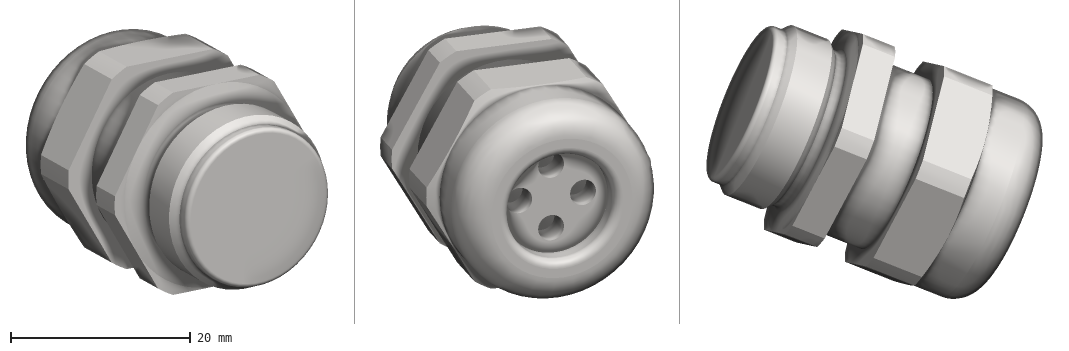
import cadquery as cq
import math

TOTAL_LENGTH = 33.0

HEX_ACROSS_FLATS = 24.0
HEX_CORNER_RADIUS = 13.25

NOSE_RADIUS = 11.85
NOSE_FILLET = 3.53
CAP_HEX_START = 7.52
CAP_HEX_CHAMFER = 0.53
CAP_END = 14.0
MOUTH_RADIUS = 6.25
MOUTH_FILLET = 1.0
MOUTH_DEPTH = 2.5

BARREL_RADIUS = 10.2
BODY_START = 8.1
BODY_HEX_START = 20.0
BODY_HEX_END = 23.95
COLLAR_CONE_END = 24.4
NECK_RADIUS = 9.35
COLLAR_FILLET = 0.43
THREAD_START = 25.5
THREAD_END = 31.48
THREAD_CHAMFER = BARREL_RADIUS - NECK_RADIUS
TIP_FILLET = 0.53

INSERT_RADIUS = 9.9
DISH_FLOOR = 3.75
DISH_FLOOR_RADIUS = 7.55
DISH_RIM_RADIUS = 9.75
HOLE_COUNT = 4
HOLE_RADIUS = 1.52
HOLE_PITCH_RADIUS = 3.75
HOLE_DEPTH = 3.3
HOLE_FLOOR_RISE = 0.13


def cylinder(start, end, radius):
    """Cylinder on the X axis between two stations."""
    return cq.Workplane("YZ", origin=(start, 0, 0)).circle(radius).extrude(end - start)


def trimmed_hexagon(start, end):
    """Hexagon with flats facing +-Z and its corners trimmed round."""
    across_corners = HEX_ACROSS_FLATS / math.cos(math.pi / 6)
    prism = cq.Workplane("YZ", origin=(start, 0, 0)).polygon(6, across_corners).extrude(end - start)
    return prism.intersect(cylinder(start, end, HEX_CORNER_RADIUS))


def revolved(profile):
    """Turn a closed (X, radius) profile around the X axis."""
    return profile.close().revolve(360, (0, 0, 0), (1, 0, 0))


def make_cap():
    nose = cylinder(0, CAP_END, NOSE_RADIUS).faces("<X").edges().fillet(NOSE_FILLET)
    chamfer_cone = revolved(
        cq.Workplane("XY")
        .moveTo(CAP_HEX_START, 0)
        .lineTo(CAP_HEX_START, NOSE_RADIUS)
        .lineTo(CAP_HEX_START + CAP_HEX_CHAMFER, HEX_CORNER_RADIUS)
        .lineTo(CAP_END, HEX_CORNER_RADIUS)
        .lineTo(CAP_END, 0)
    )
    cap = nose.union(trimmed_hexagon(CAP_HEX_START, CAP_END).intersect(chamfer_cone))

    mouth = revolved(
        cq.Workplane("XY")
        .moveTo(0, 0)
        .lineTo(0, MOUTH_RADIUS + MOUTH_FILLET)
        .radiusArc((MOUTH_FILLET, MOUTH_RADIUS), -MOUTH_FILLET)
        .lineTo(MOUTH_DEPTH, MOUTH_RADIUS)
        .lineTo(MOUTH_DEPTH, 0)
    )
    insert_bore = cylinder(MOUTH_DEPTH, BODY_START, INSERT_RADIUS)
    barrel_bore = cylinder(BODY_START, CAP_END, BARREL_RADIUS)
    return cap.cut(mouth).cut(insert_bore).cut(barrel_bore)


def make_body():
    turned = revolved(
        cq.Workplane("XY")
        .moveTo(BODY_START, 0)
        .lineTo(BODY_START, BARREL_RADIUS)
        .lineTo(BODY_HEX_END, BARREL_RADIUS)
        .lineTo(BODY_HEX_END, HEX_ACROSS_FLATS / 2)
        .lineTo(COLLAR_CONE_END, NECK_RADIUS + COLLAR_FILLET)
        .radiusArc((COLLAR_CONE_END + COLLAR_FILLET, NECK_RADIUS), -COLLAR_FILLET)
        .lineTo(THREAD_START, NECK_RADIUS)
        .lineTo(THREAD_START + THREAD_CHAMFER, BARREL_RADIUS)
        .lineTo(THREAD_END - THREAD_CHAMFER, BARREL_RADIUS)
        .lineTo(THREAD_END, NECK_RADIUS)
        .lineTo(TOTAL_LENGTH, NECK_RADIUS)
        .lineTo(TOTAL_LENGTH, 0)
    )
    turned = turned.faces(">X").edges().fillet(TIP_FILLET)
    return turned.union(trimmed_hexagon(BODY_HEX_START, BODY_HEX_END))


def make_hole():
    """Blind hole on the X axis, with a shallow cone standing on its floor."""
    floor = DISH_FLOOR + HOLE_DEPTH
    return revolved(
        cq.Workplane("XY")
        .moveTo(DISH_FLOOR, 0)
        .lineTo(DISH_FLOOR, HOLE_RADIUS)
        .lineTo(floor, HOLE_RADIUS)
        .lineTo(floor - HOLE_FLOOR_RISE, 0)
    )


def make_insert():
    dish = revolved(
        cq.Workplane("XY")
        .moveTo(MOUTH_DEPTH, 0)
        .lineTo(MOUTH_DEPTH, DISH_RIM_RADIUS)
        .lineTo(DISH_FLOOR, DISH_FLOOR_RADIUS)
        .lineTo(DISH_FLOOR, 0)
    )
    insert = cylinder(MOUTH_DEPTH, BODY_START, INSERT_RADIUS).cut(dish)
    first_hole = make_hole().translate((0, HOLE_PITCH_RADIUS, 0))
    for index in range(HOLE_COUNT):
        insert = insert.cut(first_hole.rotate((0, 0, 0), (1, 0, 0), index * 360 / HOLE_COUNT))
    return insert


cap = make_cap()
body = make_body()
insert = make_insert()

result = cq.Compound.makeCompound([cap.val(), body.val(), insert.val()])